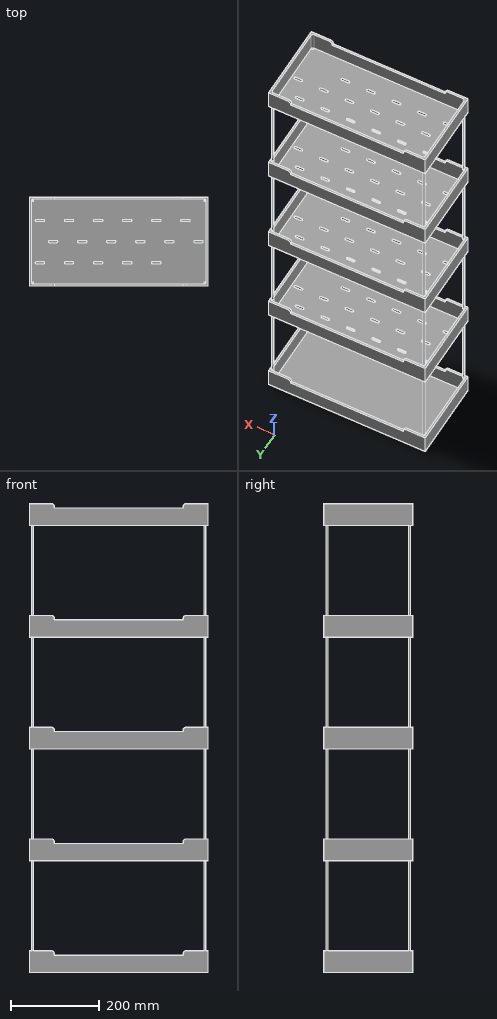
import cadquery as cq
import math

rack_height = 1061.0
tray_length = 404.0
tray_depth = 202.0
tray_height = 50.0
tray_count = 5
tray_pitch = (rack_height - tray_height) / (tray_count - 1)

wall = 5.0
floor_thickness = 1.0
corner_radius = 5.0

notch_width = 291.0
notch_depth = 10.0
notch_rounding = 7.0

leg_diameter = 5.0
leg_inset = 7.3
leg_length = tray_pitch - tray_height

slot_length = 21.0
slot_width = 5.0
slot_pitch = 66.0
slot_row_pitch = 48.0
slot_row_start = -178.0
slot_row_shift = 30.0
slot_rows = [
    (slot_row_start, slot_row_pitch, 6),
    (slot_row_start + slot_row_shift, 0, 6),
    (slot_row_start, -slot_row_pitch, 5),
]


def make_notch_cutter():
    """Bar along Y that lowers the middle of both long walls, with rounded shoulders."""
    half_width = notch_width / 2
    notch_bottom = tray_height - notch_depth
    shoulder_start = tray_height - notch_rounding
    arc_offset = notch_rounding * (1 - math.cos(math.pi / 4))
    shoulder_end = half_width + notch_rounding
    arc_x = half_width + arc_offset
    arc_z = tray_height - arc_offset
    return (
        cq.Workplane("XZ")
        .moveTo(-half_width, notch_bottom)
        .lineTo(half_width, notch_bottom)
        .lineTo(half_width, shoulder_start)
        .threePointArc((arc_x, arc_z), (shoulder_end, tray_height))
        .lineTo(-shoulder_end, tray_height)
        .threePointArc((-arc_x, arc_z), (-half_width, shoulder_start))
        .close()
        .extrude(tray_depth / 2, both=True)
    )


def make_tray():
    """Open box with rounded inside corners and notched long walls, standing on Z = 0."""
    outside = cq.Workplane("XY").box(
        tray_length, tray_depth, tray_height, centered=(True, True, False)
    )
    cavity = (
        cq.Workplane("XY")
        .workplane(offset=floor_thickness)
        .rect(tray_length - 2 * wall, tray_depth - 2 * wall)
        .extrude(tray_height - floor_thickness)
        .edges("|Z")
        .fillet(corner_radius)
    )
    return outside.cut(cavity).cut(make_notch_cutter())


def make_drain_slots():
    """Cutters for all the slots through the tray floor."""
    centers = [
        (start + i * slot_pitch, row_y)
        for start, row_y, count in slot_rows
        for i in range(count)
    ]
    return (
        cq.Workplane("XY")
        .pushPoints(centers)
        .slot2D(slot_length, slot_width)
        .extrude(floor_thickness)
    )


def make_legs():
    """Four round legs hanging below Z = 0, one near each corner."""
    return (
        cq.Workplane("XY")
        .rect(tray_length - 2 * leg_inset, tray_depth - 2 * leg_inset, forConstruction=True)
        .vertices()
        .circle(leg_diameter / 2)
        .extrude(-leg_length)
    )


def make_legged_tray():
    """Tray with a drained floor and its four legs, as one solid."""
    return make_tray().cut(make_drain_slots()).union(make_legs())


base_tray = make_tray()

legged_trays = [
    make_legged_tray().translate((0, 0, level * tray_pitch))
    for level in range(1, tray_count)
]

result = cq.Compound.makeCompound(
    [base_tray.val(), *[tray.val() for tray in legged_trays]]
)